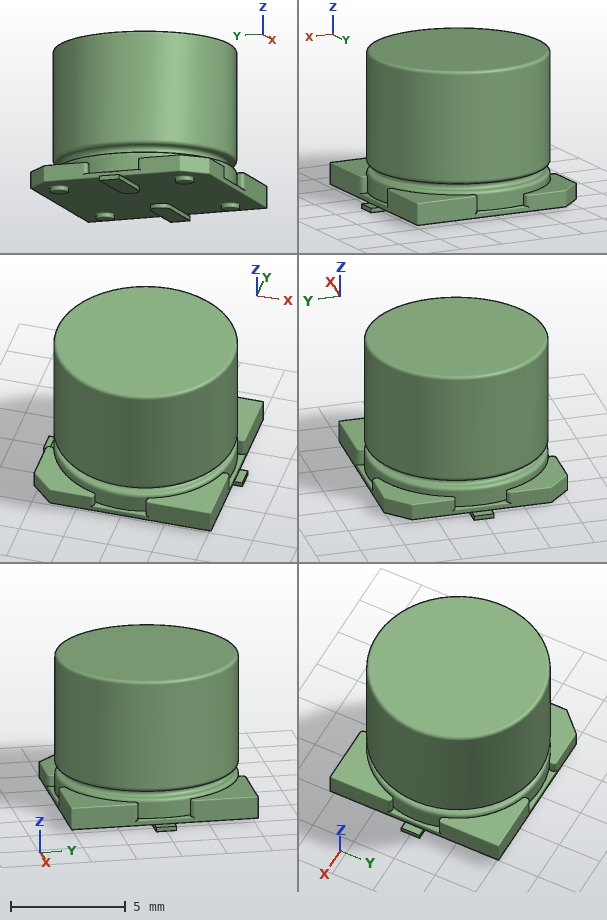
import cadquery as cq
import math

total_height = 6.7
base_width = 8.3
lead_span = 9.0
standoff = 0.2

can_radius = 4.0
can_top_round = 0.15
groove_floor_radius = 3.6
groove_height = 1.48
groove_round = 0.165

ledge_height = 0.45
low_block_height = 0.95
tall_block_height = 1.2
corner_cut = 1.0
can_clearance = 0.01
recess_radius = can_radius + can_clearance
gap_half_width = 1.17
tip_outer_round = 0.17
tip_inner_round = 0.11
edge_round = 0.05

lead_width = 0.9
lead_thickness = standoff
lead_inner_end = 1.55

foot_diameter = 0.8
foot_offset = 2.9
foot_flare = 0.05
foot_bottom_round = 0.03

half_base = base_width / 2
block_bottom = standoff + edge_round
arc_middle = math.sqrt(0.5)


def base_prism(bottom, top):
    """Square with cut -X corners and slightly rounded upright edges."""
    prism = (
        cq.Workplane("XY")
        .workplane(offset=bottom)
        .rect(base_width, base_width)
        .extrude(top - bottom)
    )
    prism = prism.edges("|Z and <X").chamfer(corner_cut)
    return prism.edges("|Z").fillet(edge_round)


def make_block(side_x, side_y, top):
    """Corner block with a round recess for the can and rounded tips."""
    height = top - standoff
    block_size = half_base - gap_half_width
    block_middle = (half_base + gap_half_width) / 2
    quadrant = (
        cq.Workplane("XY")
        .workplane(offset=standoff)
        .center(side_x * block_middle, side_y * block_middle)
        .rect(block_size, block_size)
        .extrude(height)
    )
    recess = cq.Workplane("XY").workplane(offset=standoff).circle(recess_radius).extrude(height)
    block = base_prism(standoff, top).intersect(quadrant).cut(recess)

    tip_inner_reach = math.sqrt(recess_radius**2 - gap_half_width**2)
    tip_rounds = ((half_base, tip_outer_round), (tip_inner_reach, tip_inner_round))
    for reach, radius in tip_rounds:
        for x, y in ((gap_half_width, reach), (reach, gap_half_width)):
            edge_middle = (side_x * x, side_y * y, (standoff + top) / 2)
            tip_edge = cq.selectors.NearestToPointSelector(edge_middle)
            block = block.edges(tip_edge).fillet(radius)
    return block.faces(">Z").edges().fillet(edge_round)


def make_base():
    plate = base_prism(standoff, ledge_height)
    plate = plate.faces("<Z or >Z").edges().fillet(edge_round)
    for side_y in (-1, 1):
        for side_x, top in ((-1, low_block_height), (1, tall_block_height)):
            block = make_block(side_x, side_y, top)
            block = block.intersect(base_prism(block_bottom, top))
            plate = plate.union(block)
    return plate


def make_can():
    """Revolved can with a rounded crimp groove near its foot."""
    lip_inner = can_radius - groove_round
    lip_low = groove_height - groove_round
    lip_high = groove_height + groove_round
    lip_bend_radius = lip_inner + groove_round * arc_middle
    lip_bend_drop = groove_round * (1 - arc_middle)
    profile = (
        cq.Workplane("XZ")
        .moveTo(0, block_bottom)
        .lineTo(can_radius, block_bottom)
        .lineTo(can_radius, lip_low - groove_round)
        .threePointArc((lip_bend_radius, lip_low - lip_bend_drop), (lip_inner, lip_low))
        .lineTo(groove_floor_radius + groove_round, lip_low)
        .threePointArc((groove_floor_radius, groove_height), (groove_floor_radius + groove_round, lip_high))
        .lineTo(lip_inner, lip_high)
        .threePointArc((lip_bend_radius, lip_high + lip_bend_drop), (can_radius, lip_high + groove_round))
        .lineTo(can_radius, total_height)
        .lineTo(0, total_height)
        .close()
    )
    can = profile.revolve(360, (0, 0, 0), (0, 1, 0))
    return can.faces(">Z").edges().fillet(can_top_round)


def make_lead(side):
    """Flat terminal with a half-round inner end."""
    round_centre = lead_inner_end + lead_width / 2
    length = lead_span / 2 - round_centre
    strip = cq.Workplane("XY").center(side * (round_centre + length / 2), 0).rect(length, lead_width)
    inner_end = cq.Workplane("XY").center(side * round_centre, 0).circle(lead_width / 2)
    return strip.extrude(lead_thickness).union(inner_end.extrude(lead_thickness))


def make_foot(x, y):
    """Round standoff flaring out under the base."""
    radius = foot_diameter / 2
    bend_radius = radius + foot_flare * (1 - arc_middle)
    bend_height = standoff - foot_flare * (1 - arc_middle)
    profile = (
        cq.Workplane("XZ")
        .lineTo(radius, 0)
        .lineTo(radius, standoff - foot_flare)
        .threePointArc((bend_radius, bend_height), (radius + foot_flare, standoff))
        .lineTo(0, standoff)
        .close()
    )
    foot = profile.revolve(360, (0, 0, 0), (0, 1, 0))
    return foot.faces("<Z").edges().fillet(foot_bottom_round).translate((x, y, 0))


result = make_base().union(make_can())
for side in (-1, 1):
    result = result.union(make_lead(side))
    for foot_side in (-1, 1):
        result = result.union(make_foot(side * foot_offset, foot_side * foot_offset))